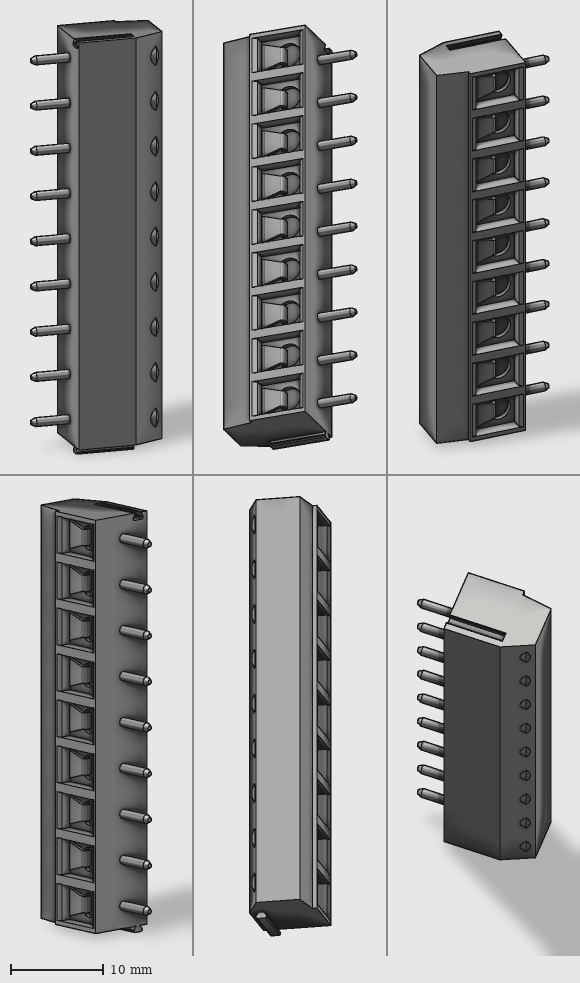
import cadquery as cq
import math

POLES = 9
PITCH = 5.08
LENGTH = POLES * PITCH

WIDTH = 7.5
HEIGHT = 10.0
SHOULDER_Y = 6.5
LEDGE = 0.5
ROOF_LEFT_X = 1.05
ROOF_RIGHT_X = 5.9

PIN_X = 4.0
PIN_DIAMETER = 1.0
PIN_LENGTH = 4.3
PIN_EMBEDMENT = 1.0
PIN_TIP_DIAMETER = 0.5
PIN_TIP_LENGTH = 0.5

POCKET_MARGIN = 0.25
POCKET_HEIGHT = 4.06
POCKET_DEPTH = 1.45
POCKET_LOW_Y = POCKET_MARGIN
POCKET_HIGH_Y = SHOULDER_Y - POCKET_MARGIN
LOW_BEVEL = 0.45
HIGH_BEVEL = 0.55
BEVEL_DEPTH = 0.25

HOLE_Y = 2.55
HOLE_RADIUS = 1.36
HOLE_FLAT_Y = 3.35
HOLE_DEPTH = 0.6

PLATE_THICKNESS = 0.4
PLATE_TOP_Y = POCKET_HIGH_Y - HIGH_BEVEL
PLATE_TOP_WIDTH = 3.3
PLATE_TIP_WIDTH = 1.8
PLATE_TOP_ROUND = 0.5
PLATE_TIP_LENGTH = 0.4

RAIL_X = 6.2
RAIL_HEIGHT = 0.69
RAIL_NECK = 0.6
RAIL_WIDTH = 1.2
RAIL_CREST = 0.95
RAIL_FLARE_HEIGHT = 0.42
RAIL_SIDE_HEIGHT = 0.12
GROOVE_CLEARANCE = 0.12
GROOVE_LIP_WIDTH = 1.1
GROOVE_LIP_DEPTH = 0.08

SCREW_X = 4.6
SCREW_RADIUS = 2.0
SCREW_TOP_Y = HEIGHT - 0.5
SCREW_CHAMFER_RADIAL = 0.46
SCREW_CHAMFER_AXIAL = 0.34
SCREW_BOTTOM_Y = SHOULDER_Y


def make_housing():
    outline = [
        (0, 0),
        (WIDTH, 0),
        (WIDTH, SHOULDER_Y),
        (ROOF_RIGHT_X, HEIGHT),
        (ROOF_LEFT_X, HEIGHT),
        (LEDGE, SHOULDER_Y),
        (0, SHOULDER_Y),
    ]
    return cq.Workplane("XY").polyline(outline).close().extrude(LENGTH)


def revolve_about_pole(profile, axis_x, z):
    """Turn an (X, Y) profile about the line parallel to Y through axis_x and z."""
    plane = cq.Workplane("XY", origin=(axis_x, 0, z))
    return plane.polyline(profile).close().revolve(360, (0, 0, 0), (0, 1, 0))


def make_pin(z):
    radius = PIN_DIAMETER / 2
    profile = [
        (0, PIN_EMBEDMENT),
        (radius, PIN_EMBEDMENT),
        (radius, PIN_TIP_LENGTH - PIN_LENGTH),
        (PIN_TIP_DIAMETER / 2, -PIN_LENGTH),
        (0, -PIN_LENGTH),
    ]
    return revolve_about_pole(profile, PIN_X, z)


def make_screw(z):
    profile = [
        (0, SCREW_BOTTOM_Y),
        (SCREW_RADIUS, SCREW_BOTTOM_Y),
        (SCREW_RADIUS, SCREW_TOP_Y - SCREW_CHAMFER_AXIAL),
        (SCREW_RADIUS - SCREW_CHAMFER_RADIAL, SCREW_TOP_Y),
        (0, SCREW_TOP_Y),
    ]
    return revolve_about_pole(profile, SCREW_X, z)


def make_pocket(z):
    """Rectangular pocket whose two short ends start with a bevel at the mouth."""
    profile = [
        (0, POCKET_LOW_Y),
        (BEVEL_DEPTH, POCKET_LOW_Y + LOW_BEVEL),
        (POCKET_DEPTH, POCKET_LOW_Y + LOW_BEVEL),
        (POCKET_DEPTH, POCKET_HIGH_Y - HIGH_BEVEL),
        (BEVEL_DEPTH, POCKET_HIGH_Y - HIGH_BEVEL),
        (0, POCKET_HIGH_Y),
    ]
    plane = cq.Workplane("XY", origin=(0, 0, z))
    return plane.polyline(profile).close().extrude(POCKET_HEIGHT / 2, both=True)


def make_wire_hole(z):
    half_flat = math.sqrt(HOLE_RADIUS**2 - (HOLE_FLAT_Y - HOLE_Y) ** 2)
    plane = cq.Workplane("YZ", origin=(POCKET_DEPTH, 0, z))
    outline = plane.moveTo(HOLE_FLAT_Y, -half_flat)
    outline = outline.threePointArc((HOLE_Y - HOLE_RADIUS, 0), (HOLE_FLAT_Y, half_flat))
    return outline.close().extrude(HOLE_DEPTH)


def make_wire_guard(z):
    """Tapered plate, rounded at its top end and at the bend into the hole."""
    front_x = POCKET_DEPTH - PLATE_THICKNESS
    back_x = POCKET_DEPTH + HOLE_DEPTH
    tip_y = HOLE_FLAT_Y - PLATE_TIP_LENGTH
    top_bend_y = PLATE_TOP_Y - PLATE_TOP_ROUND
    section = (
        cq.Workplane("XY", origin=(0, 0, z))
        .moveTo(back_x, tip_y)
        .lineTo(front_x + PLATE_TIP_LENGTH, tip_y)
        .radiusArc((front_x, HOLE_FLAT_Y), PLATE_TIP_LENGTH)
        .lineTo(front_x, top_bend_y)
        .radiusArc((front_x + PLATE_TOP_ROUND, PLATE_TOP_Y), PLATE_TOP_ROUND)
        .lineTo(back_x, PLATE_TOP_Y)
        .close()
        .extrude(PLATE_TOP_WIDTH, both=True)
    )
    half_top = PLATE_TOP_WIDTH / 2
    half_tip = PLATE_TIP_WIDTH / 2
    outline = [
        (PLATE_TOP_Y, half_top),
        (HOLE_FLAT_Y, half_tip),
        (tip_y, half_tip),
        (tip_y, -half_tip),
        (HOLE_FLAT_Y, -half_tip),
        (PLATE_TOP_Y, -half_top),
    ]
    taper = cq.Workplane("YZ", origin=(0, 0, z)).polyline(outline).close().extrude(back_x)
    return section.intersect(taper)


def make_dovetail(base_z, clearance):
    """Dovetail bar hanging below base_z, grown sideways and downwards by the clearance."""
    half_neck = RAIL_NECK / 2 + clearance
    half_width = RAIL_WIDTH / 2 + clearance
    half_crest = RAIL_CREST / 2 + clearance
    flare_end = RAIL_FLARE_HEIGHT + clearance
    side_end = flare_end + RAIL_SIDE_HEIGHT
    crest_end = RAIL_HEIGHT + clearance
    right_side = [
        (half_neck, 0),
        (half_width, -flare_end),
        (half_width, -side_end),
        (half_crest, -crest_end),
    ]
    left_side = [(-x, z) for x, z in reversed(right_side)]
    plane = cq.Workplane("XZ", origin=(RAIL_X, 0, base_z))
    return plane.polyline(right_side + left_side).close().extrude(-SHOULDER_Y)


def make_groove():
    """Dovetail groove with a bevelled lip along its mouth."""
    half_lip = GROOVE_LIP_WIDTH / 2
    half_neck = RAIL_NECK / 2 + GROOVE_CLEARANCE
    lip_outline = [
        (half_lip, 0),
        (half_neck, -GROOVE_LIP_DEPTH),
        (-half_neck, -GROOVE_LIP_DEPTH),
        (-half_lip, 0),
    ]
    plane = cq.Workplane("XZ", origin=(RAIL_X, 0, LENGTH))
    lip = plane.polyline(lip_outline).close().extrude(-SHOULDER_Y)
    return make_dovetail(LENGTH, GROOVE_CLEARANCE).union(lip)


result = make_housing()
result = result.cut(make_groove())
result = result.union(make_dovetail(0, 0))
for pole in range(POLES):
    pole_z = (pole + 0.5) * PITCH
    result = result.cut(make_pocket(pole_z)).cut(make_wire_hole(pole_z))
    result = result.union(make_wire_guard(pole_z))
    result = result.union(make_pin(pole_z)).union(make_screw(pole_z))